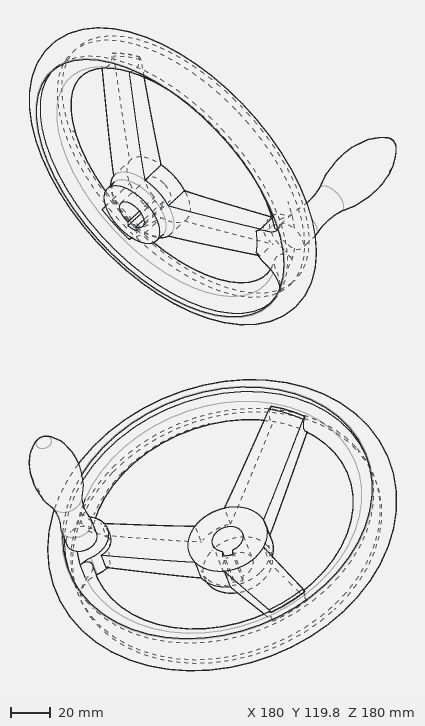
import cadquery as cq
import math


outer_radius = 90.0
rim_width = 20.2
rim_back = rim_width / 2
rim_front = -rim_back
seat_diameter = 160.0
seat_radius = seat_diameter / 2
lip_width = 0.5
lip_radius = seat_radius + lip_width
seat_front = -7.2
seat_back = 6.5
cone_inner_radius = 71.5
cone_inner_y = -4.5
opening_radius = 68.0
opening_round_radius = 5.8

hub_radius = 20.5
hub_back = -11.3
hub_front = -24.3
collar_diameter = 36.0
collar_radius = collar_diameter / 2
collar_back = -27.5
collar_front = -32.5
bore_diameter = 16.0
keyway_width = 5.2
keyway_bottom = 10.6

spoke_count = 3
spoke_front_slope = 0.43
spoke_back_slope = 0.36
spoke_hub_width = 23.2
spoke_taper = 0.03
spoke_start_radius = 10.8
spoke_end_radius = 72.0

handle_offset = 71.0
pad_radius = 14.0
pad_blend_radius = 13.0
base_diameter = 16.0
base_end = 17.6
neck_radius = 6.8
neck_middle = 28.5
grip_start = 38.5
grip_start_radius = 8.1
grip_diameter = 24.7
grip_middle = 57.6
grip_start_slope = 0.45
tip_slope = -0.9
tip_radius = 4.0
tip_start = 85.3
tip_end = 87.3


def revolve_about_y(profile):
    """Turn a closed (radius, Y) profile about the Y axis."""
    return profile.close().revolve(360, (0, 0, 0), (0, 1, 0))


def make_rim():
    round_center_radius = opening_radius + opening_round_radius
    round_center_y = seat_back - opening_round_radius
    diagonal = opening_round_radius * math.sqrt(0.5)
    profile = (
        cq.Workplane("XY")
        .moveTo(seat_radius, rim_front)
        .lineTo(lip_radius, rim_front)
        .threePointArc((outer_radius, 0), (lip_radius, rim_back))
        .lineTo(seat_radius, rim_back)
        .lineTo(seat_radius, seat_back)
        .lineTo(round_center_radius, seat_back)
        .threePointArc(
            (round_center_radius - diagonal, round_center_y + diagonal),
            (cone_inner_radius, cone_inner_y),
        )
        .lineTo(seat_radius, seat_front)
    )
    return revolve_about_y(profile)


def make_hub():
    flare_length = hub_front - collar_back
    flare_width = hub_radius - collar_radius
    flare_arc_radius = (flare_length**2 + flare_width**2) / (2 * flare_width)
    half_angle = math.asin(flare_length / flare_arc_radius) / 2
    flare_middle = (
        collar_radius + flare_arc_radius * (1 - math.cos(half_angle)),
        collar_back + flare_arc_radius * math.sin(half_angle),
    )
    profile = (
        cq.Workplane("XY")
        .moveTo(0, hub_back)
        .lineTo(hub_radius, hub_back)
        .lineTo(hub_radius, hub_front)
        .threePointArc(flare_middle, (collar_radius, collar_back))
        .lineTo(collar_radius, collar_front)
        .lineTo(0, collar_front)
    )
    return revolve_about_y(profile)


def spoke_half_width(radius):
    return spoke_hub_width / 2 - spoke_taper * (radius - hub_radius)


def make_spoke():
    """Tapered bar along +X, cut from a dished disc with conical faces."""
    start_run = spoke_start_radius - hub_radius
    end_run = spoke_end_radius - hub_radius
    disc = revolve_about_y(
        cq.Workplane("XY")
        .moveTo(spoke_start_radius, hub_front + spoke_front_slope * start_run)
        .lineTo(spoke_end_radius, hub_front + spoke_front_slope * end_run)
        .lineTo(spoke_end_radius, hub_back + spoke_back_slope * end_run)
        .lineTo(spoke_start_radius, hub_back + spoke_back_slope * start_run)
    )
    start_half = spoke_half_width(spoke_start_radius)
    end_half = spoke_half_width(spoke_end_radius)
    outline = (
        cq.Workplane("XZ")
        .polyline([
            (spoke_start_radius, start_half),
            (spoke_end_radius, end_half),
            (spoke_end_radius, -end_half),
            (spoke_start_radius, -start_half),
        ])
        .close()
        .extrude(outer_radius, both=True)
    )
    depth_limit = (
        cq.Workplane("XZ", origin=(0, hub_front, 0))
        .circle(outer_radius)
        .extrude(hub_front - seat_back)
    )
    return disc.intersect(outline).intersect(depth_limit)


def make_pad():
    """Round pad under the handle, blended on both sides into the seat wall."""
    center_radius = seat_radius - pad_blend_radius
    center_gap = pad_radius + pad_blend_radius
    blend_x = (center_radius**2 + handle_offset**2 - center_gap**2) / (2 * handle_offset)
    blend_z = math.sqrt(center_radius**2 - blend_x**2)

    pad_share = pad_radius / center_gap
    pad_touch = (handle_offset + pad_share * (blend_x - handle_offset), pad_share * blend_z)
    wall_share = seat_radius / center_radius
    wall_touch = (wall_share * blend_x, wall_share * blend_z)
    chord_x = (pad_touch[0] + wall_touch[0]) / 2 - blend_x
    chord_z = (pad_touch[1] + wall_touch[1]) / 2 - blend_z
    reach = pad_blend_radius / math.hypot(chord_x, chord_z)
    blend_middle = (blend_x + reach * chord_x, blend_z + reach * chord_z)

    def mirrored(point):
        return (point[0], -point[1])

    return (
        cq.Workplane("XZ", origin=(0, seat_front, 0))
        .moveTo(*wall_touch)
        .threePointArc(blend_middle, pad_touch)
        .threePointArc((handle_offset - pad_radius, 0), mirrored(pad_touch))
        .threePointArc(mirrored(blend_middle), mirrored(wall_touch))
        .threePointArc((seat_radius, 0), wall_touch)
        .close()
        .extrude(seat_front - seat_back)
    )


def make_handle():
    tip_height = tip_end - tip_start
    tip_sphere_radius = (tip_radius**2 + tip_height**2) / (2 * tip_height)
    tip_half_angle = math.asin(tip_radius / tip_sphere_radius) / 2
    tip_middle = (
        tip_sphere_radius * math.sin(tip_half_angle),
        tip_end - tip_sphere_radius * (1 - math.cos(tip_half_angle)),
    )
    profile = (
        cq.Workplane("XY")
        .lineTo(base_diameter / 2, 0)
        .lineTo(base_diameter / 2, base_end)
        .threePointArc((neck_radius, neck_middle), (grip_start_radius, grip_start))
        .spline(
            [(grip_diameter / 2, grip_middle), (tip_radius, tip_start)],
            tangents=[(grip_start_slope, 1), (tip_slope, 1)],
            includeCurrent=True,
        )
        .threePointArc(tip_middle, (0, tip_end))
    )
    return revolve_about_y(profile).translate((handle_offset, 0, 0))


def make_bore():
    bore = cq.Workplane("XZ").circle(bore_diameter / 2).extrude(-collar_front)
    keyway = (
        cq.Workplane("XZ")
        .center(0, -keyway_bottom / 2)
        .rect(keyway_width, keyway_bottom)
        .extrude(-collar_front)
    )
    return bore.union(keyway)


result = make_rim().union(make_hub()).union(make_pad()).union(make_handle())
spoke = make_spoke()
for index in range(spoke_count):
    angle = index * 360 / spoke_count
    result = result.union(spoke.rotate((0, 0, 0), (0, 1, 0), angle))
result = result.cut(make_bore())